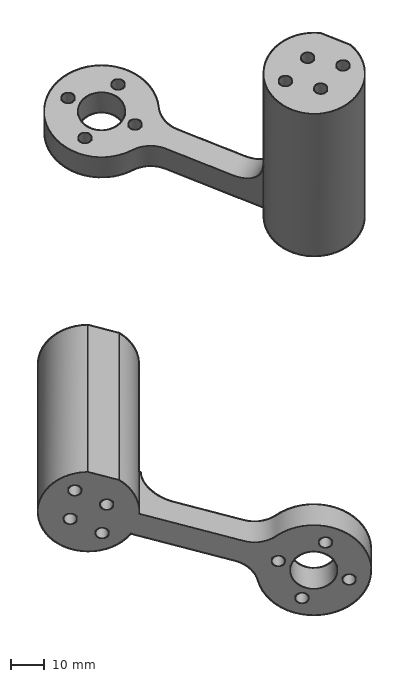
import cadquery as cq
import math

overall_length = 102.0
disc_diameter = 34.0
disc_radius = disc_diameter / 2
column_radius = 15.0
column_x = overall_length - disc_radius - column_radius
column_height = 70.0
plate_thickness = 10.0

flat_offset = 14.2

arm_width = 8.0
neck_radius = 10.0
root_radius = 10.0

bore_diameter = 14.0
screw_diameter = 4.0
disc_screw_radius = 11.0
column_long_radius = 9.0
column_short_radius = 6.0


def make_disc():
    return cq.Workplane("XY").circle(disc_radius).extrude(plate_thickness)


def make_column():
    column = cq.Workplane("XY").center(column_x, 0).circle(column_radius).extrude(column_height)
    beyond_flat = (
        cq.Workplane("XY")
        .center(column_x, flat_offset + column_radius / 2)
        .rect(2 * column_radius, column_radius)
        .extrude(column_height)
    )
    return column.cut(beyond_flat)


def make_arm():
    """Straight arm whose top sweeps up, tangent to the column's nearest line."""
    root_x = column_x - column_radius
    root_top = plate_thickness + root_radius
    diagonal = root_radius * math.sqrt(0.5)
    return (
        cq.Workplane("XZ")
        .lineTo(column_x, 0)
        .lineTo(column_x, root_top)
        .lineTo(root_x, root_top)
        .threePointArc(
            (root_x - root_radius + diagonal, root_top - diagonal),
            (root_x - root_radius, plate_thickness),
        )
        .lineTo(0, plate_thickness)
        .close()
        .extrude(arm_width / 2, both=True)
    )


def make_neck():
    """Web with concave arcs tangent to both the disc and the arm sides."""
    half_width = arm_width / 2
    arc_y = half_width + neck_radius
    centre_distance = disc_radius + neck_radius
    arc_x = math.sqrt(centre_distance**2 - arc_y**2)
    touch_x = arc_x * disc_radius / centre_distance
    touch_y = arc_y * disc_radius / centre_distance
    middle_angle = (math.atan2(-arc_y, -arc_x) - math.pi / 2) / 2
    middle_x = arc_x + neck_radius * math.cos(middle_angle)
    middle_y = arc_y + neck_radius * math.sin(middle_angle)
    return (
        cq.Workplane("XY")
        .lineTo(touch_x, touch_y)
        .threePointArc((middle_x, middle_y), (arc_x, half_width))
        .lineTo(arc_x, -half_width)
        .threePointArc((middle_x, -middle_y), (touch_x, -touch_y))
        .close()
        .extrude(plate_thickness)
    )


def make_holes():
    bore = cq.Workplane("XY").circle(bore_diameter / 2).extrude(plate_thickness)
    disc_screws = (
        cq.Workplane("XY")
        .polarArray(disc_screw_radius, 0, 360, 4)
        .circle(screw_diameter / 2)
        .extrude(plate_thickness)
    )
    holes = bore.union(disc_screws)
    for pair_radius, start_angle in ((column_long_radius, 45), (column_short_radius, 135)):
        pair = (
            cq.Workplane("XY")
            .center(column_x, 0)
            .polarArray(pair_radius, start_angle, 360, 2)
            .circle(screw_diameter / 2)
            .extrude(column_height)
        )
        holes = holes.union(pair)
    return holes


body = make_disc().union(make_neck()).union(make_arm()).union(make_column())
result = body.cut(make_holes())